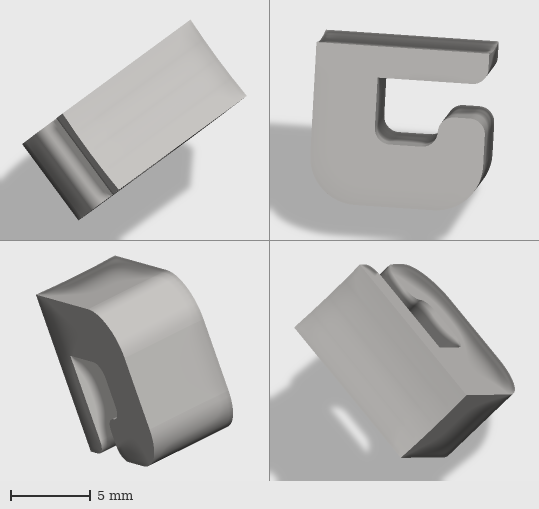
import cadquery as cq
import math

width = 11.0
height = 10.21
depth = 6.0
arm_thickness = 2.0
spine_thickness = 4.0
base_thickness = 4.0
hook_width = 3.0
hook_rise = 2.0
corner_radius = 3.0
edge_radius = 1.0

seat_radius = 22.0

turn_angle = 9.6
tilt_angle = 28.77


def clip_plane():
    """Plane of the profile: x along the width, y up the height, normal against the depth."""
    turn = math.radians(turn_angle)
    tilt = math.radians(tilt_angle)
    across = (math.sin(turn), -math.cos(turn), 0)
    depth_axis = (
        math.cos(tilt) * math.cos(turn),
        math.cos(tilt) * math.sin(turn),
        -math.sin(tilt),
    )
    normal = tuple(-component for component in depth_axis)
    return cq.Plane(origin=(0, 0, 0), xDir=across, normal=normal)


def arc_inset(radius):
    """Distance from either side of a square corner to the middle of its rounding arc."""
    return radius * (1 - math.sqrt(0.5))


def make_hook(plane):
    """J-shaped clip body: spine, top arm, base and rounded hook."""
    slot_floor = base_thickness
    slot_roof = height - arm_thickness
    hook_inner = width - hook_width
    hook_top = base_thickness + hook_rise
    outer_bend = arc_inset(corner_radius)
    inner_bend = arc_inset(edge_radius)
    return (
        cq.Workplane(plane)
        .moveTo(0, height)
        .lineTo(0, corner_radius)
        .threePointArc((outer_bend, outer_bend), (corner_radius, 0))
        .lineTo(width - corner_radius, 0)
        .threePointArc((width - outer_bend, outer_bend), (width, corner_radius))
        .lineTo(width, hook_top - edge_radius)
        .threePointArc((width - inner_bend, hook_top - inner_bend), (width - edge_radius, hook_top))
        .lineTo(hook_inner + edge_radius, hook_top)
        .threePointArc(
            (hook_inner + inner_bend, hook_top - inner_bend),
            (hook_inner, hook_top - edge_radius),
        )
        .threePointArc(
            (hook_inner - inner_bend, slot_floor + inner_bend),
            (hook_inner - edge_radius, slot_floor),
        )
        .lineTo(spine_thickness + edge_radius, slot_floor)
        .threePointArc(
            (spine_thickness + inner_bend, slot_floor + inner_bend),
            (spine_thickness, slot_floor + edge_radius),
        )
        .lineTo(spine_thickness, slot_roof)
        .lineTo(width - edge_radius, slot_roof)
        .threePointArc((width - inner_bend, slot_roof + inner_bend), (width, slot_roof + edge_radius))
        .lineTo(width, height)
        .close()
        .extrude(-depth)
    )


def make_seat_cutter(plane):
    """Cylinder along the width whose surface meets both top edges of the clip."""
    half_depth = depth / 2
    axis_height = height + math.sqrt(seat_radius**2 - half_depth**2)
    axis_start = plane.toWorldCoords((0, axis_height, -half_depth))
    return cq.Workplane(cq.Solid.makeCylinder(seat_radius, width, axis_start, plane.xDir))


profile_plane = clip_plane()
result = make_hook(profile_plane).cut(make_seat_cutter(profile_plane))